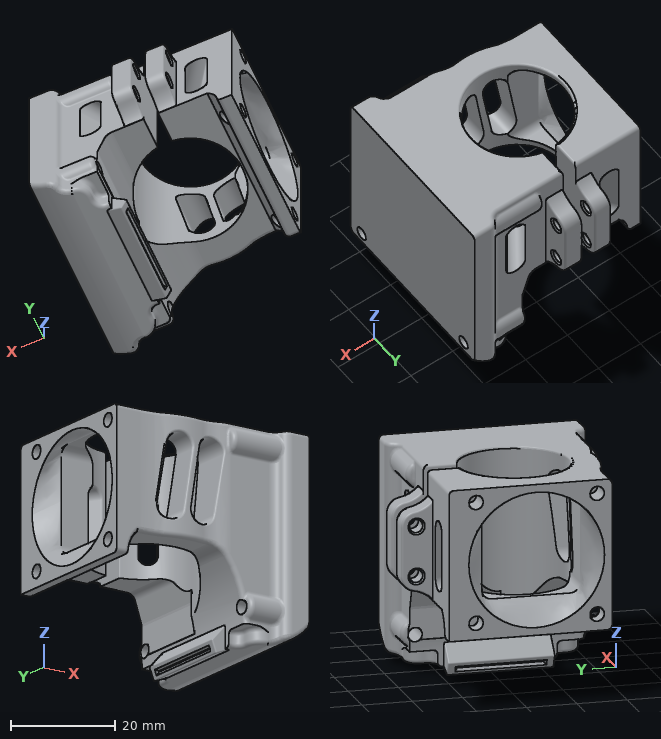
import cadquery as cq
import math


x_fan = -16.5
x_back = 25.0
flange_half_width = 20.0
side_half_width = 17.45
fan_side_y = -15.05
edge_radius = 1.0
small_radius = 0.5
overcut = 1.0
leg_front_x = 11.8
leg_bottom_end_x = 17.35

fan_plate_bottom = -30.1
underside = -25.05
flange_corner_z = -39.1
rear_bottom = -43.3

bore_radius = 11.0
bore_bottom = -36.5
bulge_radius = 16.8
gap_width = 3.0
gap_x = 0.5
gap_corner_radius = 0.25
tab_x_ranges = ((-4.9, -1.0), (2.0, 6.1))
tab_tip_y = 23.7
tab_hole_y = 20.7
tab_mid_z = -15.0
tab_hole_pitch = 9.95
tab_hole_diameter = 2.6
tab_hole_rim_diameter = 3.3
tab_root_half_height = 9.95
tab_blend_offset = 0.5
tab_edge_radius = 0.45

fan_center_z = -15.05
fan_opening_radius = 13.5
fan_screw_pitch = 24.1
fan_screw_z = -14.75
fan_screw_diameter = 2.8
fan_screw_depth = 5.0
throat_x = -12.3
throat_half_width = 9.8
throat_floor = -23.4
throat_corner = 2.0

boss_y = 16.4
boss_radius = 2.8
boss_end_round = 1.0
upper_boss_root_radius = 0.7
lower_boss_root_radius = 0.9
upper_boss_z = -3.65
lower_boss_z = -36.5
upper_boss_start = 7.9
lower_boss_start = 11.9
boss_stop = 21.0
screw_diameter = 2.8

vent_radius = 2.6
vent_top_z = -6.3
vent_bottom_z = -18.8
vent_lean = 1.95
vent_top_xs = (-2.55, 4.35)
rear_vent_width = 3.8
rear_vent_top = -8.1
rear_vent_bottom = -22.0
rear_vent_angle = 35.0
rear_vent_starts = ((-4.1, 10.4), (7.1, 8.55))
rear_vent_setback = 2.0
rear_vent_length = 14.0

relief_x = 11.75
relief_bottom = -37.55
relief_bend_low_z = -31.4
relief_bend_high = (11.67, -30.9)
relief_top_x = 10.2
relief_top_z = -26.4
relief_y = -0.45

clip_half_width = 10.65
clip_tip_low = (9.75, -44.607)
clip_tip_high = (8.72, -41.9)
clip_edge_radius = 0.3
groove_half_length = 9.1
groove_width = 1.2
groove_depth = 0.5
groove_wall_angle = 45.0
notch_x = 14.2
notch_y = 11.9
notch_top = -39.9
notch_edge_radius = 0.9
notch_inner_radius = 1.8
notch_outer_radius = 3.0


def bulge_y(x):
    return -math.sqrt(bulge_radius**2 - x**2)


def bulge_tangent(x):
    return (-bulge_y(x), x)


def plan_outline():
    """Outline seen along Z, with the wavy -Y wall and the stepped flange."""
    step_start = leg_bottom_end_x
    step_end = 21.1
    step_x = (step_start + step_end) / 2
    step_y = (side_half_width + flange_half_width) / 2
    bulge_start = -5.9
    bulge_end = 2.5
    return (
        cq.Workplane("XY")
        .moveTo(x_fan, fan_side_y)
        .lineTo(-11.0, fan_side_y)
        .spline([(-7.85, -15.3)], tangents=[(1, 0), (1, -0.13)], includeCurrent=True)
        .spline(
            [(bulge_start, bulge_y(bulge_start))],
            tangents=[(1, -0.13), bulge_tangent(bulge_start)],
            includeCurrent=True,
        )
        .threePointArc((0, -bulge_radius), (bulge_end, bulge_y(bulge_end)))
        .tangentArcPoint((3.6, -16.56), relative=False)
        .tangentArcPoint((6.2, -17.08), relative=False)
        .spline([(8.35, -side_half_width)], tangents=[(1, -0.34), (1, 0)], includeCurrent=True)
        .lineTo(step_start, -side_half_width)
        .tangentArcPoint((step_x, -step_y), relative=False)
        .tangentArcPoint((step_end, -flange_half_width), relative=False)
        .lineTo(x_back, -flange_half_width)
        .lineTo(x_back, flange_half_width)
        .lineTo(step_end, flange_half_width)
        .tangentArcPoint((step_x, step_y), relative=False)
        .tangentArcPoint((step_start, side_half_width), relative=False)
        .lineTo(x_fan, side_half_width)
        .close()
    )


def leg_profile():
    """Outline seen along Y without the fan foot: slab, arched underside and rear leg."""
    return (
        cq.Workplane("XZ")
        .moveTo(x_fan, 0)
        .lineTo(x_back, 0)
        .lineTo(x_back, flange_corner_z)
        .threePointArc((21.3, -42.0), (leg_bottom_end_x, rear_bottom))
        .lineTo(leg_front_x, rear_bottom)
        .lineTo(leg_front_x, -40.0)
        .tangentArcPoint((7.4, -26.9), relative=False)
        .tangentArcPoint((3.9, underside), relative=False)
        .lineTo(x_fan, underside)
        .close()
    )


def runs_along_x(box):
    return box.xlen > 0.1


def is_low_arch_edge(box):
    in_front_of_leg = box.zmax < underside + 0.1 and box.xmax < leg_front_x + 0.1
    return runs_along_x(box) and in_front_of_leg and box.ymax < fan_side_y + 0.1


def is_flange_foot_edge(box):
    under_flange = box.zmax < flange_corner_z + 0.1 and box.xmin > leg_bottom_end_x - 0.1
    return runs_along_x(box) and under_flange


def is_top_edge(box):
    return runs_along_x(box) and box.zmin > -0.1


def body():
    """Slab and rear leg with the long outer edges rounded."""
    plan = plan_outline().extrude(rear_bottom)
    side = leg_profile().extrude(flange_half_width + overcut, both=True)
    solid = plan.intersect(side)
    for is_rounded in (is_low_arch_edge, is_flange_foot_edge, is_top_edge):
        edges = [edge for edge in solid.edges().vals() if is_rounded(edge.BoundingBox())]
        solid = solid.newObject(edges).fillet(edge_radius)
    return solid


def is_foot_edge(box):
    return runs_along_x(box) and box.zmin < underside


def fan_foot():
    """Lower part of the fan plate, which reaches below the underside."""
    top = underside + edge_radius
    foot = (
        cq.Workplane("XZ", origin=(0, side_half_width, 0))
        .moveTo(x_fan, top)
        .lineTo(-9.9, top)
        .threePointArc((-12.5, -26.4), (-13.4, -29.1))
        .tangentArcPoint((-14.4, fan_plate_bottom), relative=False)
        .lineTo(x_fan, fan_plate_bottom)
        .close()
        .extrude(side_half_width - fan_side_y)
    )
    low_edges = [edge for edge in foot.faces("<Y").edges().vals() if is_foot_edge(edge.BoundingBox())]
    return foot.newObject(low_edges).fillet(edge_radius)


def mirrored_in_y(solid):
    return solid.union(solid.mirror("XZ"))


def boss(start_x, z):
    """Round rib along X with a rounded front end."""
    return (
        cq.Workplane("YZ", origin=(start_x, boss_y, z))
        .circle(boss_radius)
        .extrude(boss_stop - start_x)
        .faces("<X")
        .edges()
        .fillet(boss_end_round)
    )


def ear_outline(x):
    """Outline of a clamp ear seen along X, reaching a little into the body."""
    hole_z = tab_hole_pitch / 2
    ear_radius = tab_tip_y - tab_hole_y
    blend_y = tab_hole_y + tab_blend_offset
    blend_z = hole_z + math.sqrt(ear_radius**2 - tab_blend_offset**2)
    corner = ear_radius * math.sqrt(0.5)
    root_y = side_half_width - overcut
    return (
        cq.Workplane("YZ", origin=(x, 0, tab_mid_z))
        .moveTo(tab_tip_y, 0)
        .lineTo(tab_tip_y, hole_z)
        .threePointArc((tab_hole_y + corner, hole_z + corner), (blend_y, blend_z))
        .tangentArcPoint((side_half_width, tab_root_half_height), relative=False)
        .lineTo(root_y, tab_root_half_height)
        .lineTo(root_y, 0)
        .mirrorX()
    )


def is_free_edge(edge):
    return edge.BoundingBox().ymax > side_half_width + 0.1


def tabs():
    """Two clamp ears with rounded face edges."""
    ears = cq.Workplane("XY")
    for x_start, x_end in tab_x_ranges:
        ear = ear_outline(x_start).extrude(x_end - x_start)
        free_edges = [edge for edge in ear.faces("<X or >X").edges().vals() if is_free_edge(edge)]
        ears = ears.union(ear.newObject(free_edges).fillet(tab_edge_radius))
    return ears


def tab_holes():
    """Screw holes through both ears, widened at each ear face."""
    lip = (tab_hole_rim_diameter - tab_hole_diameter) / 2
    first_x = tab_x_ranges[0][0]
    last_x = tab_x_ranges[1][1]
    holes = cq.Workplane("XY")
    for side in (-1, 1):
        z = tab_mid_z + side * tab_hole_pitch / 2
        through = cq.Workplane("YZ", origin=(first_x, tab_hole_y, z)).circle(tab_hole_diameter / 2)
        holes = holes.union(through.extrude(last_x - first_x))
        for x_start, x_end in tab_x_ranges:
            for face_x, inward in ((x_start, 1), (x_end, -1)):
                face = cq.Workplane("YZ", origin=(face_x, tab_hole_y, z))
                cone = face.circle(tab_hole_rim_diameter / 2).workplane(offset=inward * lip)
                holes = holes.union(cone.circle(tab_hole_diameter / 2).loft())
    return holes


def bore():
    """Vertical bore with a rounded top rim, ending above the clip."""
    return (
        cq.Workplane("YZ")
        .moveTo(0, overcut)
        .lineTo(bore_radius + small_radius, overcut)
        .lineTo(bore_radius + small_radius, 0)
        .radiusArc((bore_radius, -small_radius), -small_radius)
        .lineTo(bore_radius, bore_bottom)
        .lineTo(0, bore_bottom)
        .close()
        .revolve(360, (0, 0, 0), (0, 1, 0))
    )


def clamp_gap():
    """Slit from the bore out through the +Y wall, rounded at the top."""
    half = gap_width / 2
    return (
        cq.Workplane("XZ", origin=(gap_x, 0, 0))
        .moveTo(-half - small_radius, overcut)
        .lineTo(half + small_radius, overcut)
        .lineTo(half + small_radius, 0)
        .radiusArc((half, -small_radius), -small_radius)
        .lineTo(half, fan_plate_bottom)
        .lineTo(-half, fan_plate_bottom)
        .lineTo(-half, -small_radius)
        .radiusArc((-half - small_radius, 0), -small_radius)
        .close()
        .extrude(-side_half_width - tab_tip_y)
    )


def fan_duct():
    """Round inlet tapering to a rectangular throat that runs into the bore."""
    inlet_top = fan_center_z + fan_opening_radius
    throat_height = inlet_top - throat_floor
    throat_mid = (inlet_top + throat_floor) / 2
    throat = cq.Sketch().rect(2 * throat_half_width, throat_height).vertices().fillet(throat_corner)
    inlet = cq.Sketch().circle(fan_opening_radius)
    throat_place = cq.Location(cq.Vector(0, throat_mid - fan_center_z, throat_x - x_fan))
    taper = (
        cq.Workplane("YZ", origin=(x_fan, 0, fan_center_z))
        .placeSketch(inlet, throat.moved(throat_place))
        .loft()
    )
    straight = (
        cq.Workplane("YZ", origin=(throat_x, 0, throat_mid)).placeSketch(throat).extrude(-throat_x)
    )
    return taper.union(straight)


def fan_screw_holes():
    return (
        cq.Workplane("YZ", origin=(x_fan, 0, fan_screw_z))
        .rect(fan_screw_pitch, fan_screw_pitch, forConstruction=True)
        .vertices()
        .circle(fan_screw_diameter / 2)
        .extrude(fan_screw_depth)
    )


def boss_screw_holes():
    """Screw holes along the lower bosses, through to the rear face."""
    hole = (
        cq.Workplane("YZ", origin=(0, boss_y, lower_boss_z))
        .circle(screw_diameter / 2)
        .extrude(x_back)
    )
    return mirrored_in_y(hole)


def leaning_vents():
    """Two leaning slots from the -Y wall into the bore."""
    rise = vent_top_z - vent_bottom_z
    length = math.hypot(vent_lean, rise) + 2 * vent_radius
    angle = math.degrees(math.atan2(rise, vent_lean))
    centers = [(x - vent_lean / 2, (vent_top_z + vent_bottom_z) / 2) for x in vent_top_xs]
    return (
        cq.Workplane("XZ")
        .pushPoints(centers)
        .slot2D(length, 2 * vent_radius, angle)
        .extrude(flange_half_width)
    )


def rear_vents():
    """Two upright slots that splay outward from the bore through the +Y wall."""
    height = rear_vent_top - rear_vent_bottom
    middle_z = (rear_vent_top + rear_vent_bottom) / 2
    angle = math.radians(rear_vent_angle)
    vents = cq.Workplane("XY")
    for (x, y), side in zip(rear_vent_starts, (-1, 1)):
        direction = cq.Vector(side * math.sin(angle), math.cos(angle), 0)
        start = cq.Vector(x, y, middle_z) - direction * rear_vent_setback
        plane = cq.Plane(start, xDir=(direction.y, -direction.x, 0), normal=direction)
        slot = cq.Workplane(plane).slot2D(height, rear_vent_width, 90).extrude(rear_vent_length)
        vents = vents.union(slot)
    return vents


def leg_relief():
    """Material removed behind the bore, from the +Y side to just past the middle."""
    return (
        cq.Workplane("XZ", origin=(0, relief_y, 0))
        .moveTo(0, relief_bottom)
        .lineTo(relief_x, relief_bottom)
        .lineTo(relief_x, relief_bend_low_z)
        .lineTo(*relief_bend_high)
        .lineTo(relief_top_x, relief_top_z)
        .threePointArc((9.6, -25.5), (8.6, underside))
        .lineTo(0, underside)
        .close()
        .extrude(-side_half_width - overcut)
    )


def corner_notches():
    """Recesses in the bottom front corners of the leg, beside the clip."""
    front_x = 10.0
    low_z = rear_bottom - overcut
    inner_arc_end = (notch_x, notch_y + notch_inner_radius)
    outer_arc_start = (notch_x, side_half_width - notch_outer_radius)
    outer_arc_end = (notch_x + notch_outer_radius, side_half_width)
    notch = (
        cq.Workplane("XY", origin=(0, 0, low_z))
        .moveTo(front_x, notch_y)
        .lineTo(notch_x - notch_inner_radius, notch_y)
        .tangentArcPoint(inner_arc_end, relative=False)
        .lineTo(*outer_arc_start)
        .tangentArcPoint(outer_arc_end, relative=False)
        .lineTo(outer_arc_end[0], side_half_width + overcut)
        .lineTo(front_x, side_half_width + overcut)
        .close()
        .extrude(notch_top - low_z)
        .faces(">Z")
        .edges(cq.selectors.BoxSelector((13, 11, -99), (15, 16, 0)))
        .fillet(notch_edge_radius)
    )
    return mirrored_in_y(notch)


def clip():
    """Lip at the foot of the leg, with a shallow groove along its tip."""
    lip = (
        cq.Workplane("XZ", origin=(0, clip_half_width, 0))
        .moveTo(12.5, -37.6)
        .lineTo(*clip_tip_high)
        .lineTo(*clip_tip_low)
        .lineTo(12.85, rear_bottom)
        .close()
        .extrude(2 * clip_half_width)
    )
    lip = lip.edges("not(>X)").fillet(clip_edge_radius)
    slant_x = clip_tip_high[0] - clip_tip_low[0]
    slant_z = clip_tip_high[1] - clip_tip_low[1]
    middle = ((clip_tip_high[0] + clip_tip_low[0]) / 2, 0, (clip_tip_high[1] + clip_tip_low[1]) / 2)
    face = cq.Plane(middle, xDir=(0, 1, 0), normal=(-slant_z, 0, slant_x))
    opening = cq.Workplane(face).rect(2 * groove_half_length, groove_width)
    groove = opening.extrude(-groove_depth, taper=groove_wall_angle)
    return lip.cut(groove)


def rounded_where(part, is_wanted, radius):
    """The part with the edges that pass the test rounded."""
    edges = [edge for edge in part.edges().vals() if is_wanted(edge)]
    return part.newObject(edges).fillet(radius)


def is_boss_root(z):
    """Test for the edges where the bosses at this height meet the body."""
    def test(edge):
        middle = edge.positionAt(0.5)
        distance = math.hypot(abs(middle.y) - boss_y, middle.z - z)
        on_boss = abs(distance - boss_radius) < 0.02
        return runs_along_x(edge.BoundingBox()) and on_boss and abs(middle.y) > side_half_width - 0.15
    return test


def is_vent_rim(edge):
    box = edge.BoundingBox()
    above_bottom = box.zmin > vent_bottom_z - vent_radius - 0.1
    below_top = box.zmax < vent_top_z + vent_radius + 0.1
    on_wall = box.ymax < fan_side_y and box.xmax < upper_boss_start - 0.4
    return above_bottom and below_top and on_wall and box.xlen > 0.05


def is_rear_vent_rim(edge):
    box = edge.BoundingBox()
    middle = edge.positionAt(0.5)
    in_height = box.zmin > rear_vent_bottom - 0.1 and box.zmax < rear_vent_top + 0.1
    on_bore = abs(math.hypot(middle.x, middle.y) - bore_radius) < 0.05
    return in_height and on_bore and middle.y > 5


def is_notch_foot(edge):
    box = edge.BoundingBox()
    middle = edge.positionAt(0.5)
    at_bottom = abs(box.zmax - rear_bottom) < 0.05 and box.zlen < 0.05
    on_wall = 12 < middle.x < leg_bottom_end_x - 0.05 and abs(middle.y) > notch_y - 0.05
    return at_bottom and on_wall


def is_gap_corner(edge):
    """Test for the upright edges where the clamp gap opens into the bore."""
    box = edge.BoundingBox()
    middle = edge.positionAt(0.5)
    is_upright = box.zlen > 5 and box.xlen < 0.01
    on_gap_wall = abs(abs(middle.x - gap_x) - gap_width / 2) < 0.05
    return is_upright and on_gap_wall and 8 < middle.y < bore_radius


def build():
    part = body().union(fan_foot())
    part = part.cut(leaning_vents())
    part = rounded_where(part, is_vent_rim, small_radius)
    part = part.union(mirrored_in_y(boss(upper_boss_start, upper_boss_z)))
    part = rounded_where(part, is_boss_root(upper_boss_z), upper_boss_root_radius)
    part = part.union(mirrored_in_y(boss(lower_boss_start, lower_boss_z)))
    part = rounded_where(part, is_boss_root(lower_boss_z), lower_boss_root_radius)
    part = part.cut(leg_relief())
    part = part.cut(corner_notches())
    part = rounded_where(part, is_notch_foot, notch_edge_radius)
    part = part.union(clip())
    part = part.union(tabs())
    part = part.cut(clamp_gap())
    part = part.cut(bore())
    part = rounded_where(part, is_gap_corner, gap_corner_radius)
    part = part.cut(rear_vents())
    part = rounded_where(part, is_rear_vent_rim, small_radius)
    part = part.cut(fan_duct())
    part = part.cut(tab_holes())
    part = part.cut(fan_screw_holes())
    part = part.cut(boss_screw_holes())
    return part


result = build()